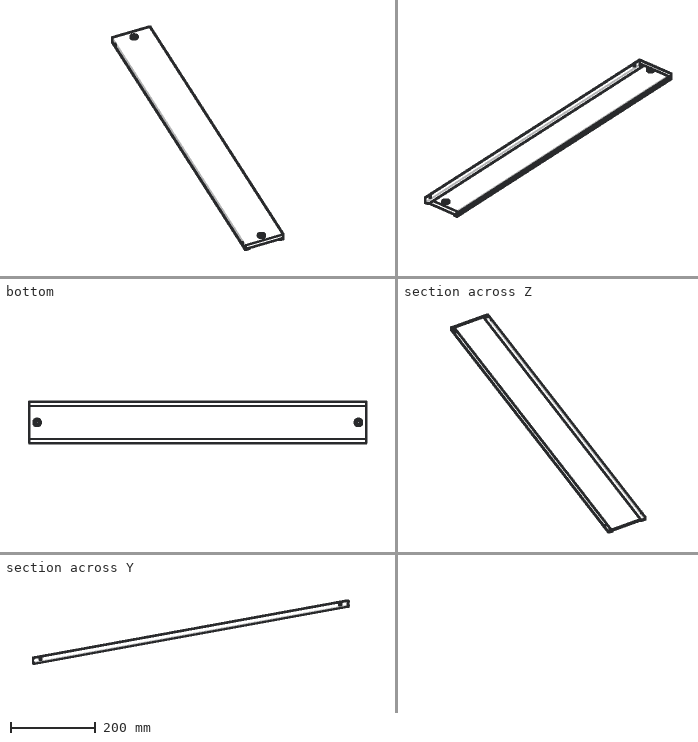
import cadquery as cq
import math

length = 796.0
width = 99.0
height = 15.0

sheet = 1.0
bend_outer = 1.3
bend_inner = bend_outer - sheet

lip_width = 10.0
end_flange_gap = 4.0
side_setback = 1.2
end_flange_inset = 1.5

side_hole_inset = 20.0
screw_hole_inset = 19.0
side_hole_diameter = 5.0
screw_hole_diameter = 8.0
dimple_diameter = 17.0
dimple_depth = (dimple_diameter - screw_hole_diameter) / 2

half_length = length / 2
half_width = width / 2
top = height / 2
side_hole_x = half_length - side_hole_inset
screw_hole_x = half_length - screw_hole_inset


def side_channel():
    """Top sheet, side walls and bottom lips folded along the length."""
    channel_length = length - 2 * side_setback
    outer = cq.Workplane("XY").box(channel_length, width, height)
    outer = outer.edges("|X").fillet(bend_outer)
    inner = cq.Workplane("XY").box(channel_length, width - 2 * sheet, height - 2 * sheet)
    inner = inner.edges("|X").fillet(bend_inner)
    lip_gap = cq.Workplane("XY", origin=(0, 0, -top)).box(
        channel_length, width - 2 * lip_width, 2 * bend_outer
    )
    return outer.cut(inner).cut(lip_gap)


def end_channel():
    """Top sheet and end flanges folded across the width, clear of the side bends."""
    channel_width = width - 2 * end_flange_inset
    channel_height = height - end_flange_gap
    origin = (0, 0, top - channel_height / 2)
    outer = cq.Workplane("XY", origin=origin).box(length, channel_width, channel_height)
    outer = outer.edges("|Y and >Z").fillet(bend_outer)
    inner_origin = (0, 0, top - channel_height / 2 - sheet)
    inner = cq.Workplane("XY", origin=inner_origin).box(
        length - 2 * sheet, channel_width, channel_height
    )
    inner = inner.edges("|Y and >Z").fillet(bend_inner)
    return outer.cut(inner)


def cone(top_radius, x):
    """Downward 45 degree cone frustum starting at the top face."""
    return cq.Workplane("XY").add(
        cq.Solid.makeCone(
            top_radius,
            top_radius - dimple_depth,
            dimple_depth,
            pnt=cq.Vector(x, 0, top),
            dir=cq.Vector(0, 0, -1),
        )
    )


def add_dimple(panel, x):
    """Press a conical screw seat of sheet thickness into the top, with its hole."""
    seat_radius = dimple_diameter / 2
    outer_radius = seat_radius + sheet * math.sqrt(2)
    return panel.union(cone(outer_radius, x)).cut(cone(seat_radius, x))


def side_holes():
    """Round holes through both long walls."""
    return (
        cq.Workplane("XZ")
        .pushPoints([(x, 0) for x in (-side_hole_x, side_hole_x)])
        .circle(side_hole_diameter / 2)
        .extrude(half_width, both=True)
    )


def drill_side_walls(panel):
    """Drill the long walls only, leaving the dimples between them whole."""
    between_walls = cq.Workplane("XY").box(length, width - 2 * lip_width, height)
    return panel.cut(side_holes().cut(between_walls))


panel = side_channel().union(end_channel())
for hole_x in (-screw_hole_x, screw_hole_x):
    panel = add_dimple(panel, hole_x)

result = drill_side_walls(panel)